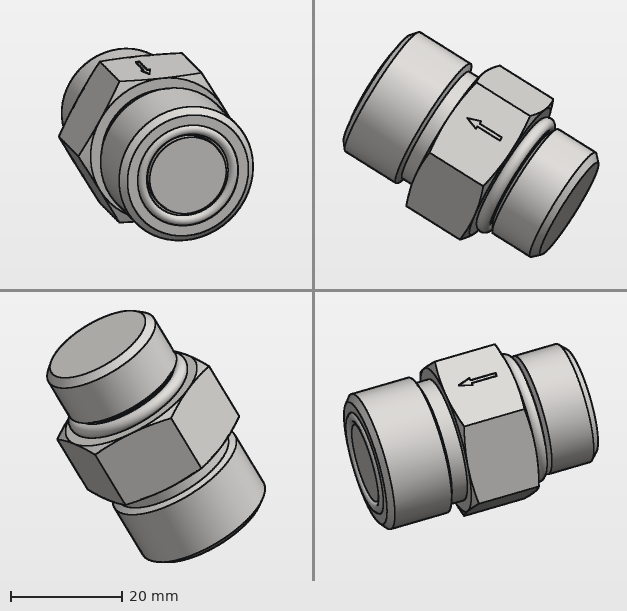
import cadquery as cq
import math


stud_radius = 22.225 / 2
stud_end_chamfer = 1.32
stud_length = 9.35
neck_radius = 19.68 / 2
neck_taper_angle = 30.0

stud_ring_section = 2.5
stud_ring_inner_radius = 19.05 / 2

hex_start = 12.72
hex_length = 12.92
hex_across_flats = 26.924
hex_chamfer_length = 0.7

undercut_radius = 22.76 / 2
port_radius = 25.4 / 2
port_start = 28.57
port_back_chamfer_length = 0.55
port_front_chamfer_length = 1.06
port_front_chamfer_depth = 1.25
port_face = 41.05

face_ring_section = 1.78
face_groove_outer_radius = 19.05 / 2
face_groove_inner_radius = 14.48 / 2
overall_length = 41.61

arrow_start = 15.52
arrow_length = 7.2
arrow_head_length = 2.4
arrow_head_width = 1.7
arrow_shaft_width = 0.68
arrow_offset_y = -1.33
engraving_depth = 0.13

neck_taper_length = (stud_radius - neck_radius) * math.tan(math.radians(neck_taper_angle))
hex_end = hex_start + hex_length
hex_flat_radius = hex_across_flats / 2
hex_across_corners = hex_across_flats / math.cos(math.radians(30))
hex_corner_radius = hex_across_corners / 2
face_groove_floor = overall_length - face_ring_section


def revolve_about_x(profile):
    """Revolve a closed profile of (x, radius) about the fitting's axis."""
    return profile.revolve(360, (0, 0, 0), (1, 0, 0))


def make_sleeve(start, end, inner_radius, outer_radius):
    """Plain ring of rectangular section around the axis."""
    return (
        cq.Workplane("YZ", origin=(start, 0, 0))
        .circle(outer_radius)
        .circle(inner_radius)
        .extrude(end - start)
    )


def make_o_ring(centre_x, centre_radius, section):
    """Ring of round section, centred on the axis."""
    circle = cq.Workplane("XY").moveTo(centre_x, centre_radius).circle(section / 2)
    return revolve_about_x(circle)


def make_turned_core():
    """Stud, neck, undercut and port end as one turned profile."""
    points = [
        (0, 0),
        (0, stud_radius - stud_end_chamfer),
        (stud_end_chamfer, stud_radius),
        (stud_length, stud_radius),
        (stud_length + neck_taper_length, neck_radius),
        (hex_start, neck_radius),
        (hex_start, undercut_radius),
        (port_start, undercut_radius),
        (port_start + port_back_chamfer_length, port_radius),
        (port_face - port_front_chamfer_length, port_radius),
        (port_face, port_radius - port_front_chamfer_depth),
        (port_face, 0),
    ]
    return revolve_about_x(cq.Workplane("XY").polyline(points).close())


def make_hexagon():
    """Hexagonal prism with flats at top and bottom, its corners turned down at both ends."""
    prism = (
        cq.Workplane("YZ", origin=(hex_start, 0, 0))
        .polygon(6, hex_across_corners)
        .extrude(hex_length)
    )
    points = [
        (hex_start, 0),
        (hex_start, hex_flat_radius),
        (hex_start + hex_chamfer_length, hex_corner_radius),
        (hex_end - hex_chamfer_length, hex_corner_radius),
        (hex_end, hex_flat_radius),
        (hex_end, 0),
    ]
    return prism.intersect(revolve_about_x(cq.Workplane("XY").polyline(points).close()))


def make_arrow():
    """Arrow-shaped cutter that points along +X and sinks into the top flat."""
    head_start = arrow_length - arrow_head_length
    half_shaft = arrow_shaft_width / 2
    half_head = arrow_head_width / 2
    points = [
        (0, -half_shaft),
        (head_start, -half_shaft),
        (head_start, -half_head),
        (arrow_length, 0),
        (head_start, half_head),
        (head_start, half_shaft),
        (0, half_shaft),
    ]
    return (
        cq.Workplane("XY", origin=(arrow_start, arrow_offset_y, hex_flat_radius))
        .polyline(points)
        .close()
        .extrude(-engraving_depth)
    )


def make_body():
    stud_ring_seat = make_sleeve(
        hex_start - stud_ring_section, hex_start, stud_ring_inner_radius, stud_radius
    )
    face_groove = make_sleeve(
        face_groove_floor, port_face, face_groove_inner_radius, face_groove_outer_radius
    )
    solid = make_turned_core().union(make_hexagon())
    return solid.cut(stud_ring_seat).cut(face_groove).cut(make_arrow())


body = make_body()

stud_ring = make_o_ring(
    hex_start - stud_ring_section / 2,
    stud_ring_inner_radius + stud_ring_section / 2,
    stud_ring_section,
)

face_ring = make_o_ring(
    overall_length - face_ring_section / 2,
    face_groove_outer_radius - face_ring_section / 2,
    face_ring_section,
)

result = cq.Compound.makeCompound([body.solids().val(), stud_ring.val(), face_ring.val()])